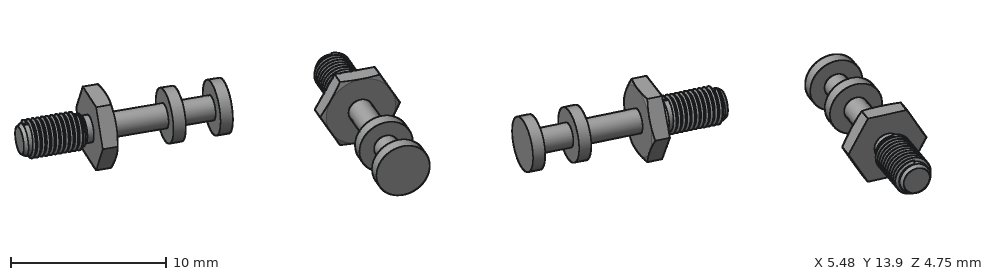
import cadquery as cq
import math

overall_length = 13.89
tip_chamfer_end = 0.26
stud_top = 4.15
neck_start = 4.32
hex_base = 4.75
hex_top = 5.89

neck_radius = 0.92
stud_radius = 1.08
shank_radius = 0.83

disc_radius = 1.83
disc_thickness = 0.85
disc_spacing = 3.2

hex_across_flats = 4.75
hex_corner_drop = 0.11
hex_corner_radius = hex_across_flats / 2 / math.cos(math.radians(30))

thread_pitch = 0.32
thread_turns = 11
thread_start = 0.45
thread_crest_radius = 1.285
thread_root_width = 0.26
thread_crest_width = 0.03
thread_embed = 0.03


def make_turned_body():
    """Tip, stud, neck and shank, revolved about Z."""
    profile = [
        (0, 0),
        (neck_radius, 0),
        (stud_radius, tip_chamfer_end),
        (stud_radius, stud_top),
        (neck_radius, neck_start),
        (neck_radius, hex_base),
        (shank_radius, hex_base),
        (shank_radius, overall_length),
        (0, overall_length),
    ]
    return cq.Workplane("XZ").polyline(profile).close().revolve(360, (0, 0, 0), (0, 1, 0))


def make_disc(top):
    base = top - disc_thickness
    return cq.Workplane("XY").workplane(offset=base).circle(disc_radius).extrude(disc_thickness)


def make_hex_collar():
    """Hexagonal prism whose upper corners are turned off by a shallow cone."""
    prism = (
        cq.Workplane("XY")
        .workplane(offset=hex_base)
        .polygon(6, 2 * hex_corner_radius)
        .extrude(hex_top - hex_base)
    )
    corner_height = hex_top - hex_corner_drop
    envelope_profile = [
        (0, hex_base),
        (hex_corner_radius, hex_base),
        (hex_corner_radius, corner_height),
        (hex_across_flats / 2, hex_top),
        (0, hex_top),
    ]
    envelope = (
        cq.Workplane("XZ").polyline(envelope_profile).close().revolve(360, (0, 0, 0), (0, 1, 0))
    )
    return prism.intersect(envelope)


def make_thread():
    """Helical ridge, square-ended, starting on the +X side of the stud."""
    flank_slope = (thread_root_width - thread_crest_width) / 2 / (thread_crest_radius - stud_radius)
    half_crest = thread_crest_width / 2
    half_base = thread_root_width / 2 + flank_slope * thread_embed
    base_radius = stud_radius - thread_embed
    helix = cq.Wire.makeHelix(
        thread_pitch, thread_turns * thread_pitch, base_radius, lefthand=True
    ).translate(cq.Vector(0, 0, thread_start))
    ridge_profile = [
        (base_radius, thread_start - half_base),
        (thread_crest_radius, thread_start - half_crest),
        (thread_crest_radius, thread_start + half_crest),
        (base_radius, thread_start + half_base),
    ]
    ridge = cq.Workplane("XZ").polyline(ridge_profile).close().sweep(cq.Workplane(helix), isFrenet=True)
    return ridge.rotate((0, 0, 0), (0, 0, 1), -90)


upright = make_turned_body().union(make_hex_collar())
for disc_top in (overall_length, overall_length - disc_spacing):
    upright = upright.union(make_disc(disc_top))
upright = upright.union(make_thread())

result = upright.rotate((0, 0, 0), (1, 0, 0), -90)